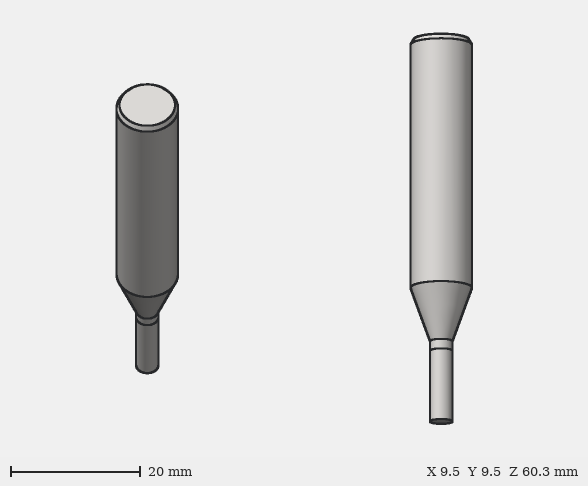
import cadquery as cq

total_length = 60.3
shank_diameter = 9.5
end_chamfer_height = 0.85
end_chamfer_width = 0.5
neck_diameter = 3.5
cutter_length = 11.15
neck_length = 1.5
taper_length = 8.45

shank_radius = shank_diameter / 2
neck_radius = neck_diameter / 2
taper_bottom = cutter_length + neck_length
taper_top = taper_bottom + taper_length


def make_shank():
    """Revolved holder: neck, conical taper and cylindrical shank with a chamfered end."""
    return (
        cq.Workplane("XZ")
        .moveTo(0, cutter_length)
        .lineTo(neck_radius, cutter_length)
        .lineTo(neck_radius, taper_bottom)
        .lineTo(shank_radius, taper_top)
        .lineTo(shank_radius, total_length - end_chamfer_height)
        .lineTo(shank_radius - end_chamfer_width, total_length)
        .lineTo(0, total_length)
        .close()
        .revolve(360, (0, 0, 0), (0, 1, 0))
    )


def make_cutter():
    """Plain cylindrical cutting end that butts against the neck."""
    return cq.Workplane("XY").circle(neck_radius).extrude(cutter_length)


shank = make_shank()
cutter = make_cutter()

result = cq.Compound.makeCompound([shank.val(), cutter.val()])